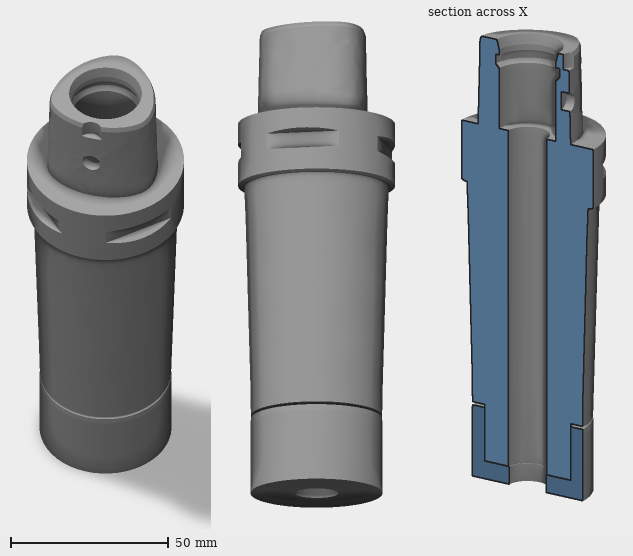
import cadquery as cq
import math

TOTAL_HEIGHT = 150.0
FLANGE_TOP = 120.0
FLANGE_BOTTOM = 100.0
FLANGE_BEVEL_BOTTOM = 99.5
SHOULDER_BOTTOM = 25.2
NUT_TOP = 24.3
NUT_TAPER_START = 22.5
NUT_FLOOR = 6.0

FLANGE_RADIUS = 50.0 / 2
FLANGE_BEVEL_RADIUS = 23.7
BODY_TOP_RADIUS = 23.0
BODY_BOTTOM_RADIUS = 20.8
NECK_RADIUS = 16.4
NUT_RADIUS = 21.0
NUT_TOP_RADIUS = 20.8

SHANK_BASE_RADIUS = 17.5
SHANK_TAPER = 1 / 40
LOBE_SIZE = 1.2
SHANK_BEVEL_HEIGHT = 1.5
SHANK_BEVEL_WIDTH = 0.6
LOBE_POINTS = 48

THROUGH_RADIUS = 7.2
NUT_HOLE_RADIUS = 6.9
SOCKET_MOUTH_RADIUS = 11.5
SOCKET_RADIUS = 10.6
SOCKET_MOUTH_DEPTH = 3.3
SOCKET_DEPTH = 30.0
GROOVE_RADIUS = 12.0
GROOVE_TOP_DEPTH = 5.2
GROOVE_WALL_END_DEPTH = 8.2
GROOVE_BOTTOM_DEPTH = 9.6

NOTCH_RADIUS = 3.6
NOTCH_CENTER_Y = -17.1
NOTCH_DEPTH = 5.1
DIMPLE_RADIUS = 3.0
DIMPLE_HEIGHT = 134.1
DIMPLE_FLOOR_Y = -12.8

SLOT_COUNT = 4
SLOT_FIRST_ANGLE = 45.0
SLOT_FLOOR_DISTANCE = 22.0
SLOT_FLOOR_BOTTOM = 107.8
SLOT_FLOOR_TOP = 112.6
SLOT_FLARE = 0.9


def revolve_profile(points):
    """Revolve a closed (radius, height) outline about the Z axis."""
    return cq.Workplane("XZ").polyline(points).close().revolve(360, (0, 0, 0), (0, 1, 0))


def lobed_section(radius, height):
    """Closed three-lobed wire with one lobe toward +Y."""

    def outline_point(index):
        angle = 2 * math.pi * index / LOBE_POINTS
        along = -radius * math.cos(angle) + LOBE_SIZE * (2 * math.cos(2 * angle) - math.cos(4 * angle))
        across = radius * math.sin(angle) + LOBE_SIZE * (2 * math.sin(2 * angle) + math.sin(4 * angle))
        return cq.Vector(across, along, height)

    points = [outline_point(index) for index in range(LOBE_POINTS)]
    return cq.Wire.assembleEdges([cq.Edge.makeSpline(points, periodic=True)])


def make_shank():
    """Tapered shank with a bevelled top edge."""
    bevel_start = TOTAL_HEIGHT - SHANK_BEVEL_HEIGHT
    bevel_radius = SHANK_BASE_RADIUS - SHANK_TAPER * (bevel_start - FLANGE_TOP)
    base = lobed_section(SHANK_BASE_RADIUS, FLANGE_TOP)
    bevel_edge = lobed_section(bevel_radius, bevel_start)
    top = lobed_section(bevel_radius - SHANK_BEVEL_WIDTH, TOTAL_HEIGHT)
    taper = cq.Solid.makeLoft([base, bevel_edge], True)
    bevel = cq.Solid.makeLoft([bevel_edge, top], True)
    return cq.Workplane(taper).union(cq.Workplane(bevel))


def make_flanged_body():
    """Flange, conical body and the neck that carries the nut."""
    return revolve_profile([
        (0, FLANGE_TOP),
        (FLANGE_RADIUS, FLANGE_TOP),
        (FLANGE_RADIUS, FLANGE_BOTTOM),
        (FLANGE_BEVEL_RADIUS, FLANGE_BEVEL_BOTTOM),
        (BODY_TOP_RADIUS, FLANGE_BEVEL_BOTTOM),
        (BODY_BOTTOM_RADIUS, SHOULDER_BOTTOM),
        (NECK_RADIUS, SHOULDER_BOTTOM),
        (NECK_RADIUS, NUT_FLOOR),
        (0, NUT_FLOOR),
    ])


def make_bore():
    """Cutter for the through hole, the socket and its inner groove."""
    return revolve_profile([
        (0, TOTAL_HEIGHT),
        (SOCKET_MOUTH_RADIUS, TOTAL_HEIGHT),
        (SOCKET_RADIUS, TOTAL_HEIGHT - SOCKET_MOUTH_DEPTH),
        (SOCKET_RADIUS, TOTAL_HEIGHT - GROOVE_TOP_DEPTH),
        (GROOVE_RADIUS, TOTAL_HEIGHT - GROOVE_TOP_DEPTH),
        (GROOVE_RADIUS, TOTAL_HEIGHT - GROOVE_WALL_END_DEPTH),
        (SOCKET_RADIUS, TOTAL_HEIGHT - GROOVE_BOTTOM_DEPTH),
        (SOCKET_RADIUS, TOTAL_HEIGHT - SOCKET_DEPTH),
        (THROUGH_RADIUS, TOTAL_HEIGHT - SOCKET_DEPTH),
        (THROUGH_RADIUS, NUT_FLOOR),
        (0, NUT_FLOOR),
    ])


def make_notch():
    """Cutter for the round-backed notch in the shank's top edge."""
    return (
        cq.Workplane("XY", origin=(0, NOTCH_CENTER_Y, TOTAL_HEIGHT - NOTCH_DEPTH))
        .circle(NOTCH_RADIUS)
        .extrude(NOTCH_DEPTH)
    )


def make_dimple():
    """Cutter for the blind round hole in the -Y side of the shank."""
    return (
        cq.Workplane("XZ", origin=(0, DIMPLE_FLOOR_Y, DIMPLE_HEIGHT))
        .circle(DIMPLE_RADIUS)
        .extrude(FLANGE_RADIUS + DIMPLE_FLOOR_Y)
    )


def make_gripper_slot(angle):
    """Cutter for one straight slot with flared flanks, facing the given angle."""
    return (
        cq.Workplane("XZ")
        .polyline([
            (SLOT_FLOOR_DISTANCE, SLOT_FLOOR_BOTTOM),
            (FLANGE_RADIUS, SLOT_FLOOR_BOTTOM - SLOT_FLARE),
            (FLANGE_RADIUS, SLOT_FLOOR_TOP + SLOT_FLARE),
            (SLOT_FLOOR_DISTANCE, SLOT_FLOOR_TOP),
        ])
        .close()
        .extrude(FLANGE_RADIUS, both=True)
        .rotate((0, 0, 0), (0, 0, 1), angle)
    )


def make_holder():
    """Tool holder: shank, flange, conical body and neck in one solid."""
    body = make_flanged_body().union(make_shank())
    body = body.cut(make_bore()).cut(make_notch()).cut(make_dimple())
    for index in range(SLOT_COUNT):
        body = body.cut(make_gripper_slot(SLOT_FIRST_ANGLE + index * 360 / SLOT_COUNT))
    return body


def make_nut():
    """Clamping nut: a cup around the neck with a hole through its floor."""
    return revolve_profile([
        (NUT_HOLE_RADIUS, 0),
        (NUT_RADIUS, 0),
        (NUT_RADIUS, NUT_TAPER_START),
        (NUT_TOP_RADIUS, NUT_TOP),
        (NECK_RADIUS, NUT_TOP),
        (NECK_RADIUS, NUT_FLOOR),
        (NUT_HOLE_RADIUS, NUT_FLOOR),
    ])


holder = make_holder()
nut = make_nut()
result = cq.Compound.makeCompound([holder.val(), nut.val()])